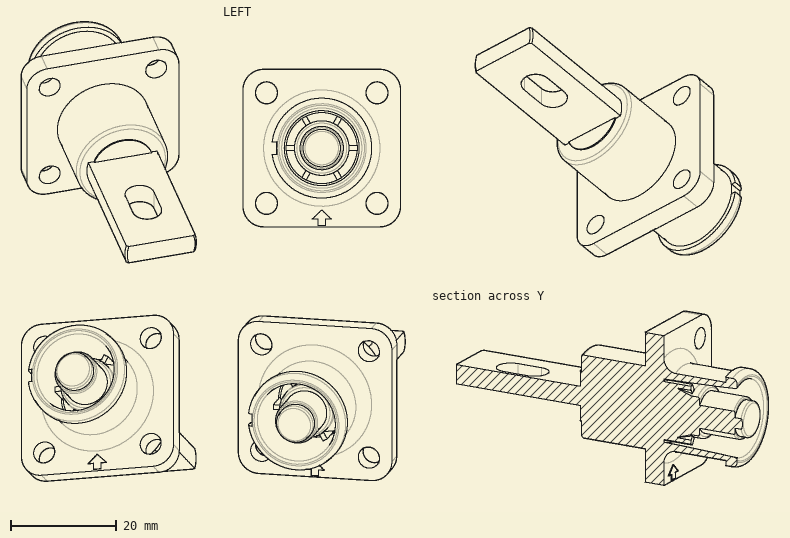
import cadquery as cq
import math

LIP_FRONT = 1.2
LIP_BACK = 3.75
STEP_FRONT = 1.7
SLEEVE_FRONT = 9.4
BORE_FLOOR = 17.2
FLANGE_FRONT = 17.2
FLANGE_BACK = 21.3
BODY_BACK = 35.25
COLLAR_BACK = 35.5
BLADE_END = 62.5

BARREL_RADIUS = 8.55
LIP_RADIUS = 9.5
LIP_OUTER_ROUND = 1.05
LIP_INNER_ROUND = 0.5
BARREL_ROOT_FILLET = 2.5
BORE_MOUTH_RADIUS = 7.6
BORE_FLOOR_RADIUS = 7.1
NOTCH_WIDTH = 2.4

PIN_RADIUS = 3.55
PIN_EDGE_ROUND = 0.4
STEP_RADIUS = 4.1
STEP_EDGE_ROUND = 0.25
SLEEVE_RADIUS = 5.2
SLEEVE_EDGE_ROUND = 0.45
CONE_FRONT = 11.25
CONE_BASE_RADIUS = 6.75
RIB_COUNT = 6
RIB_WIDTH = 0.95

FLANGE_SIDE = 30.0
FLANGE_CORNER_RADIUS = 4.0
HOLE_DIAMETER = 4.1
HOLE_SPACING = 21.0

ARROW_HEIGHT = 0.2
ARROW_TIP_Z = -11.75
ARROW_SHOULDER_Z = -13.5
ARROW_BASE_Z = -14.7
ARROW_HEAD_WIDTH = 3.6
ARROW_STEM_WIDTH = 1.45

BODY_RADIUS = 9.0
BODY_EDGE_ROUND = 0.55
COLLAR_RADIUS = 6.0
BLADE_ROD_RADIUS = 7.05
BLADE_THICKNESS = 3.95
BLADE_END_CHAMFER = 0.4
SLOT_LENGTH = 10.7
SLOT_WIDTH = 5.55
SLOT_CENTER_X = 49.95


def rod(x_start, x_end, radius):
    """Solid cylinder along the X axis."""
    return cq.Workplane("YZ").workplane(offset=x_start).circle(radius).extrude(x_end - x_start)


def make_barrel():
    """Hollow turned barrel with a notched round lip, a tapered bore and a flare into the flange."""
    diagonal = math.sqrt(0.5)
    flare_start = FLANGE_FRONT - BARREL_ROOT_FILLET
    flare_radius = BARREL_RADIUS + BARREL_ROOT_FILLET
    flare_offset = BARREL_ROOT_FILLET * diagonal
    outer_center = (LIP_FRONT + LIP_OUTER_ROUND, LIP_RADIUS - LIP_OUTER_ROUND)
    outer_offset = LIP_OUTER_ROUND * diagonal
    inner_center = (LIP_FRONT + LIP_INNER_ROUND, BORE_MOUTH_RADIUS + LIP_INNER_ROUND)
    inner_offset = LIP_INNER_ROUND * diagonal

    barrel = (
        cq.Workplane("XY")
        .moveTo(BORE_FLOOR, BORE_FLOOR_RADIUS)
        .lineTo(inner_center[0], BORE_MOUTH_RADIUS)
        .threePointArc(
            (inner_center[0] - inner_offset, inner_center[1] - inner_offset),
            (LIP_FRONT, inner_center[1]),
        )
        .lineTo(LIP_FRONT, outer_center[1])
        .threePointArc(
            (outer_center[0] - outer_offset, outer_center[1] + outer_offset),
            (outer_center[0], LIP_RADIUS),
        )
        .lineTo(LIP_BACK, LIP_RADIUS)
        .lineTo(LIP_BACK, BARREL_RADIUS)
        .lineTo(flare_start, BARREL_RADIUS)
        .threePointArc(
            (flare_start + flare_offset, flare_radius - flare_offset),
            (FLANGE_FRONT, flare_radius),
        )
        .close()
        .revolve(360, (0, 0, 0), (1, 0, 0))
    )
    notch_length = LIP_BACK - LIP_FRONT
    notch_depth = LIP_RADIUS - BARREL_RADIUS
    notch = cq.Workplane("XY").box(notch_length, notch_depth, NOTCH_WIDTH).translate(
        (LIP_FRONT + notch_length / 2, BARREL_RADIUS + notch_depth / 2, 0)
    )
    return barrel.cut(notch)


def make_contact():
    """Stepped pin rising from a sleeve, with a ribbed cone widening toward the bore floor."""
    pin = rod(0, BORE_FLOOR, PIN_RADIUS).faces("<X").edges().fillet(PIN_EDGE_ROUND)
    step = rod(STEP_FRONT, BORE_FLOOR, STEP_RADIUS).faces("<X").edges().fillet(STEP_EDGE_ROUND)
    sleeve = rod(SLEEVE_FRONT, BORE_FLOOR, SLEEVE_RADIUS).faces("<X").edges().fillet(SLEEVE_EDGE_ROUND)
    cone = (
        cq.Workplane("XY")
        .polyline([
            (CONE_FRONT, 0),
            (CONE_FRONT, SLEEVE_RADIUS),
            (BORE_FLOOR, CONE_BASE_RADIUS),
            (BORE_FLOOR, 0),
        ])
        .close()
        .revolve(360, (0, 0, 0), (1, 0, 0))
    )
    contact = sleeve.union(cone).union(step).union(pin)
    rib_length = BORE_FLOOR - CONE_FRONT
    rib = cq.Workplane("XY").box(rib_length, CONE_BASE_RADIUS - PIN_RADIUS, RIB_WIDTH).translate(
        (CONE_FRONT + rib_length / 2, (CONE_BASE_RADIUS + PIN_RADIUS) / 2, 0)
    )
    for index in range(RIB_COUNT):
        contact = contact.union(rib.rotate((0, 0, 0), (1, 0, 0), index * 360 / RIB_COUNT))
    return contact


def make_flange():
    """Rounded square plate with four corner holes."""
    return (
        cq.Workplane("YZ")
        .workplane(offset=FLANGE_FRONT)
        .rect(FLANGE_SIDE, FLANGE_SIDE)
        .extrude(FLANGE_BACK - FLANGE_FRONT)
        .edges("|X")
        .fillet(FLANGE_CORNER_RADIUS)
        .faces("<X")
        .workplane(origin=(FLANGE_FRONT, 0, 0))
        .rect(HOLE_SPACING, HOLE_SPACING, forConstruction=True)
        .vertices()
        .hole(HOLE_DIAMETER)
    )


def make_arrow():
    """Raised arrow below the barrel."""
    half_head = ARROW_HEAD_WIDTH / 2
    half_stem = ARROW_STEM_WIDTH / 2
    return (
        cq.Workplane("YZ")
        .workplane(offset=FLANGE_FRONT)
        .polyline([
            (0, ARROW_TIP_Z),
            (half_head, ARROW_SHOULDER_Z),
            (half_stem, ARROW_SHOULDER_Z),
            (half_stem, ARROW_BASE_Z),
            (-half_stem, ARROW_BASE_Z),
            (-half_stem, ARROW_SHOULDER_Z),
            (-half_head, ARROW_SHOULDER_Z),
        ])
        .close()
        .extrude(-ARROW_HEIGHT)
    )


def make_rear_body():
    """Cylinder behind the flange with a rounded rear edge and a thin collar."""
    body = rod(FLANGE_BACK, BODY_BACK, BODY_RADIUS).faces(">X").edges().fillet(BODY_EDGE_ROUND)
    return body.union(rod(BODY_BACK, COLLAR_BACK, COLLAR_RADIUS))


def make_blade():
    """Chamfered rod milled to a flat blade, with an obround terminal slot."""
    blade_rod = rod(BODY_BACK, BLADE_END, BLADE_ROD_RADIUS).faces(">X").edges().chamfer(BLADE_END_CHAMFER)
    slab = cq.Workplane("XY").box(2 * BLADE_END, 2 * BLADE_ROD_RADIUS, BLADE_THICKNESS)
    slot = (
        cq.Workplane("XY")
        .center(SLOT_CENTER_X, 0)
        .slot2D(SLOT_LENGTH, SLOT_WIDTH)
        .extrude(BLADE_THICKNESS, both=True)
    )
    return blade_rod.intersect(slab).cut(slot)


result = (
    make_flange()
    .union(make_barrel())
    .union(make_contact())
    .union(make_arrow())
    .union(make_rear_body())
    .union(make_blade())
)